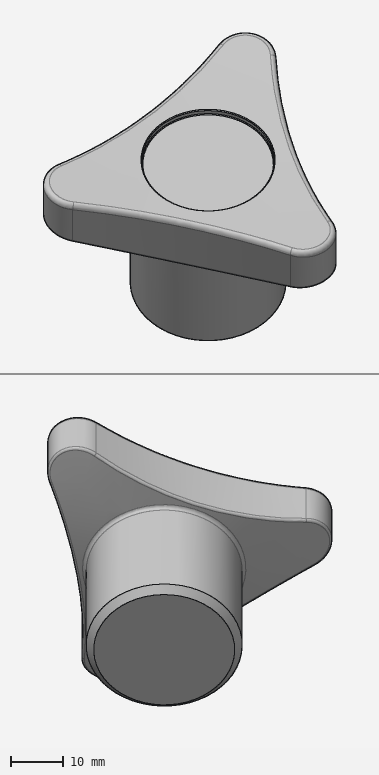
import cadquery as cq
import math

handle_width = 57.9
lobe_radius = 6.0
waist_distance = 16.9
lobe_count = 3
top_center_z = 36.95
top_dish_radius = 272.1
under_center_z = 23.9
under_dish_radius = 110.0
top_fillet = 1.05
under_fillet = 0.6

hub_radius = 30.0 / 2
hub_chamfer = 1.45
hub_fillet = 0.8

recess_radius = 25.4 / 2
recess_floor_z = 36.0
recess_edge = 0.2

blank_height = 46.3

half_step = math.pi / lobe_count
lobe_across = handle_width / 2 - lobe_radius
lobe_distance = lobe_across / math.sin(half_step)
lobe_along = lobe_distance * math.cos(half_step)
waist_offset = waist_distance - lobe_along
side_radius = (lobe_across**2 + waist_offset**2 - lobe_radius**2) / (2 * (lobe_radius - waist_offset))
tangent_tilt = math.asin(lobe_across / (side_radius + lobe_radius))


def polar(distance, angle):
    return (distance * math.cos(angle), distance * math.sin(angle))


def lobe_point(lobe_angle, offset_angle):
    """Point on the rim of the lobe that lies at lobe_angle."""
    center_x, center_y = polar(lobe_distance, lobe_angle)
    rim_x, rim_y = polar(lobe_radius, lobe_angle + offset_angle)
    return (center_x + rim_x, center_y + rim_y)


def handle_prism():
    lobe_sweep = half_step + tangent_tilt
    first_angle = math.pi / 2
    outline = cq.Workplane("XY").moveTo(*lobe_point(first_angle, -lobe_sweep))
    for index in range(lobe_count):
        angle = first_angle + index * 2 * half_step
        outline = outline.threePointArc(lobe_point(angle, 0), lobe_point(angle, lobe_sweep))
        outline = outline.threePointArc(
            polar(waist_distance, angle + half_step),
            lobe_point(angle + 2 * half_step, -lobe_sweep),
        )
    return outline.close().extrude(blank_height)


def dish_ball(center_z, dish_radius):
    """Ball whose lowest point is at center_z, turned so that its seam is on top, away from the part."""
    ball = cq.Workplane("XY").sphere(dish_radius).rotate((0, 0, 0), (0, 1, 0), -90)
    return ball.translate((0, 0, center_z + dish_radius))


def recess():
    """Turned pocket with a bevelled rim and a bevelled floor corner."""
    rim_z = top_dish_radius + top_center_z - math.sqrt(top_dish_radius**2 - recess_radius**2)
    return (
        cq.Workplane("XZ")
        .moveTo(0, recess_floor_z)
        .lineTo(recess_radius - recess_edge, recess_floor_z)
        .lineTo(recess_radius, recess_floor_z + recess_edge)
        .lineTo(recess_radius, rim_z - recess_edge)
        .lineTo(recess_radius + 2 * recess_edge, rim_z + recess_edge)
        .lineTo(0, rim_z + recess_edge)
        .close()
        .revolve(360, (0, 0, 0), (0, 1, 0))
    )


def handle():
    body = handle_prism().intersect(dish_ball(under_center_z, under_dish_radius))
    body = body.cut(dish_ball(top_center_z, top_dish_radius)).cut(recess())
    top_rim = body.faces(">Z").val().outerWire().Edges()
    body = body.newObject(top_rim).fillet(top_fillet)
    return body.faces("<Z").edges().fillet(under_fillet)


def hub():
    return (
        cq.Workplane("XY")
        .circle(hub_radius)
        .extrude(recess_floor_z)
        .faces("<Z")
        .chamfer(hub_chamfer)
    )


def hub_joint():
    """Picks the edge where the hub meets the underside of the handle."""
    return cq.selectors.BoxSelector(
        (-hub_radius, -hub_radius, under_center_z),
        (hub_radius, hub_radius, (under_center_z + top_center_z) / 2),
    )


result = handle().union(hub())
result = result.edges(hub_joint()).fillet(hub_fillet)